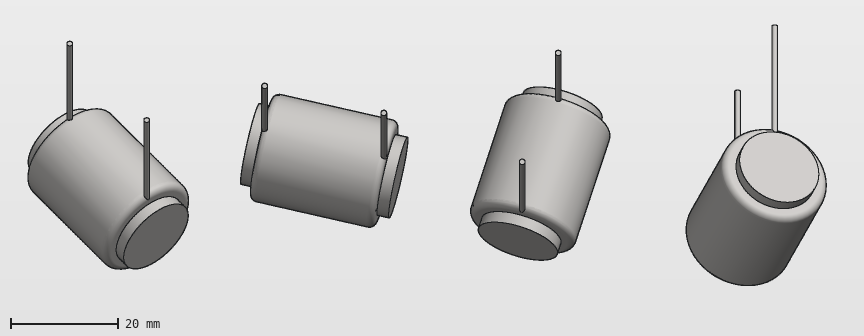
import cadquery as cq

core_length = 28.45
core_diameter = 15.5
winding_length = 24.0
winding_diameter = 20.58
edge_radius = 1.3
total_height = 43.7
lead_diameter = 1.1

winding_radius = winding_diameter / 2
lead_top = total_height - winding_radius
lead_offset = (winding_length - lead_diameter) / 2
lead_bottom = winding_radius - edge_radius


def cylinder_along_x(length, diameter):
    """Cylinder on the X axis, centred on the origin."""
    return cq.Workplane("YZ", origin=(-length / 2, 0, 0)).circle(diameter / 2).extrude(length)


def lead(x):
    """Straight round wire rising from the winding."""
    return (
        cq.Workplane("XY", origin=(x, 0, lead_bottom))
        .circle(lead_diameter / 2)
        .extrude(lead_top - lead_bottom)
    )


core = cylinder_along_x(core_length, core_diameter)
winding = cylinder_along_x(winding_length, winding_diameter).edges("%CIRCLE").fillet(edge_radius)

result = winding.union(core)
for side in (-1, 1):
    result = result.union(lead(side * lead_offset))